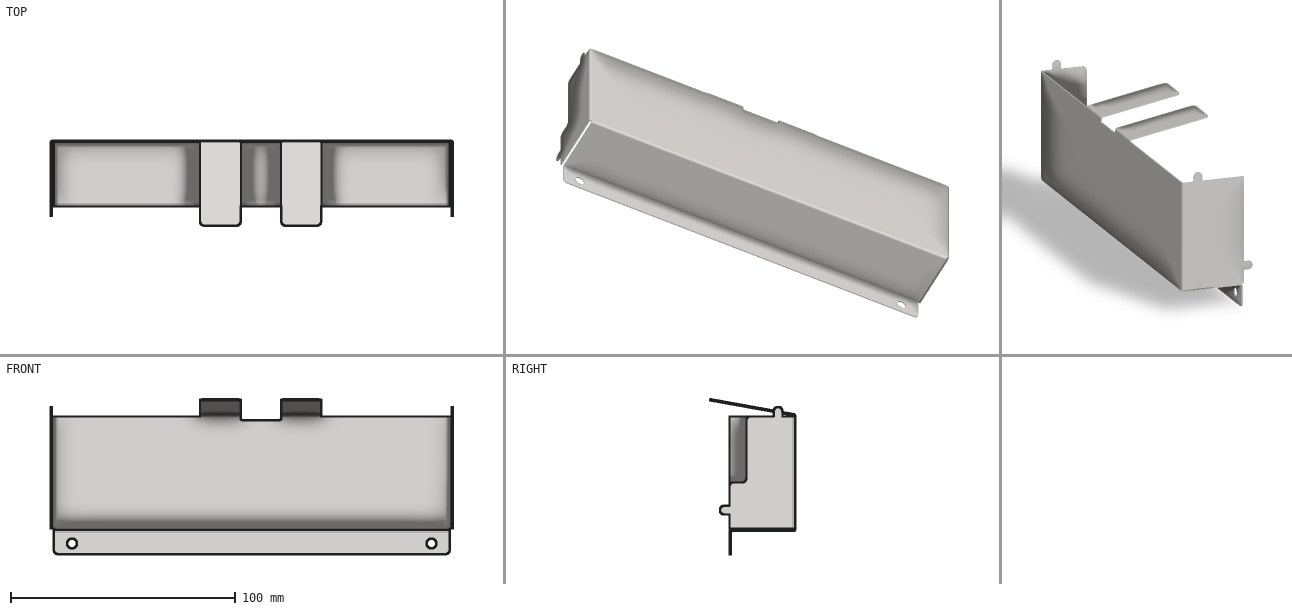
import cadquery as cq
import math

length = 179.3
sheet = 0.6
bend_inside = 0.48
bend_outside = bend_inside + sheet
tray_depth = 29.4
floor_top = 11.0
floor_bottom = floor_top - sheet
wall_bottom = floor_bottom + bend_outside
wall_top = 61.5

floor_length = 176.8
flange_corner = 2.2
hole_diameter = 4.3
hole_spacing = 160.3
hole_height = 4.8

tab_width = 4.0
tab_reach = 4.3
top_tab_setback = 7.7
front_tab_height = 19.7

step_depth = 21.9
step_height = 32.0
step_corner = 1.8

flap_front = 38.0
flap_angle = 10.2
flap_corner = 2.2
notch_left = -4.8
notch_right = 13.0
notch_bottom = 59.9
notch_corner = 0.7
flap_spans = [(-23.1, notch_left), (notch_right, 31.0)]


def box(x_range, y_range, z_range):
    """Box between the given limits."""
    size = [high - low for low, high in (x_range, y_range, z_range)]
    corner = (x_range[0], y_range[0], z_range[0])
    return cq.Workplane("XY").box(*size, centered=False).translate(corner)


def extrude_side_profile(profile, x_start, width):
    """Extrude a closed YZ profile along X from x_start."""
    return profile.extrude(width).translate((x_start, 0, 0))


def back_and_ends():
    """U-shaped strip forming the back wall and both end walls."""
    outside = box((-length / 2, length / 2), (-tray_depth, 0), (wall_bottom, wall_top))
    outside = outside.edges("|Z and >Y").fillet(bend_outside)
    inner_x = length / 2 - sheet
    inside = box((-inner_x, inner_x), (-2 * tray_depth, -sheet), (wall_bottom, wall_top))
    inside = inside.edges("|Z and >Y").fillet(bend_inside)
    return outside.cut(inside)


def end_wall_step():
    """Volume removed from the upper front of the +X end wall."""
    rounded = (
        cq.Workplane("YZ")
        .moveTo(-tray_depth, step_height - step_corner)
        .radiusArc((-tray_depth + step_corner, step_height), step_corner)
        .lineTo(-step_depth - step_corner, step_height)
        .radiusArc((-step_depth, step_height + step_corner), -step_corner)
        .lineTo(-step_depth, wall_top - step_corner)
        .radiusArc((-step_depth + step_corner, wall_top), step_corner)
        .lineTo(-tray_depth, wall_top)
        .close()
    )
    return extrude_side_profile(rounded, length / 2 - sheet, sheet)


def locating_tabs(x_start):
    """Round-ended tabs on the top and front edges of one end wall."""
    radius = tab_width / 2
    straight = tab_reach - radius
    top_tab = box(
        (x_start, x_start + sheet),
        (-top_tab_setback - radius, -top_tab_setback + radius),
        (wall_top - tab_width, wall_top + straight),
    )
    front_tab = box(
        (x_start, x_start + sheet),
        (-tray_depth - straight, -tray_depth + tab_width),
        (front_tab_height - radius, front_tab_height + radius),
    )
    centers = [
        (-top_tab_setback, wall_top + straight),
        (-tray_depth - straight, front_tab_height),
    ]
    tips = extrude_side_profile(cq.Workplane("YZ").pushPoints(centers).circle(radius), x_start, sheet)
    return top_tab.union(front_tab).union(tips)


def floor_and_flange():
    """Floor bent up into the back wall and down into the drilled flange."""
    half = floor_length / 2
    flange_bend = floor_top - bend_outside
    profile = (
        cq.Workplane("YZ")
        .moveTo(0, wall_bottom)
        .radiusArc((-bend_outside, floor_bottom), bend_outside)
        .lineTo(-tray_depth + bend_outside, floor_bottom)
        .radiusArc((-tray_depth + sheet, flange_bend), -bend_inside)
        .lineTo(-tray_depth + sheet, 0)
        .lineTo(-tray_depth, 0)
        .lineTo(-tray_depth, flange_bend)
        .radiusArc((-tray_depth + bend_outside, floor_top), bend_outside)
        .lineTo(-bend_outside, floor_top)
        .radiusArc((-sheet, wall_bottom), -bend_inside)
        .close()
    )
    body = extrude_side_profile(profile, -half, floor_length)
    body = body.edges("|Y and <Z").edges("<X or >X").fillet(flange_corner)
    holes = (
        cq.Workplane("XZ", origin=(0, -tray_depth + sheet, 0))
        .pushPoints([(-hole_spacing / 2, hole_height), (hole_spacing / 2, hole_height)])
        .circle(hole_diameter / 2)
        .extrude(sheet)
    )
    return body.cut(holes)


def flap(left, right):
    """Flap bent forward from the back wall, rising toward its free end."""
    angle = math.radians(flap_angle)
    sine, cosine = math.sin(angle), math.cos(angle)
    bend_y = -bend_outside
    tip_y = -flap_front

    def on_bend(radius):
        return (bend_y + radius * sine, wall_top + radius * cosine)

    outer_start = on_bend(bend_outside)
    inner_start = on_bend(bend_inside)
    run = (inner_start[0] - tip_y) / cosine

    def at_tip(start):
        return (start[0] - run * cosine, start[1] + run * sine)

    profile = (
        cq.Workplane("YZ")
        .moveTo(0, wall_top)
        .radiusArc(outer_start, -bend_outside)
        .lineTo(*at_tip(outer_start))
        .lineTo(*at_tip(inner_start))
        .lineTo(*inner_start)
        .radiusArc((-sheet, wall_top), bend_inside)
        .close()
    )
    body = extrude_side_profile(profile, left, right - left)
    return body.faces("<Y").edges("not |X").fillet(flap_corner)


def flap_notch():
    """Round-cornered notch in the back wall between the flaps."""
    notch = box((notch_left, notch_right), (-sheet, 0), (notch_bottom, wall_top))
    return notch.edges("|Y and <Z").fillet(notch_corner)


result = back_and_ends().cut(end_wall_step()).cut(flap_notch())
for wall_x in (-length / 2, length / 2 - sheet):
    result = result.union(locating_tabs(wall_x))
result = result.union(floor_and_flange())
for span in flap_spans:
    result = result.union(flap(*span))